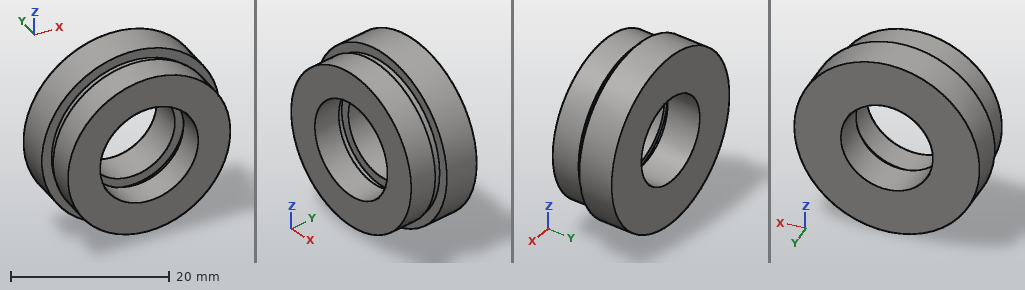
import cadquery as cq

flange_diameter = 25.4
body_diameter = 23.2
neck_diameter = 22.6
bore_diameter = 12.6
counterbore_diameter = 14.0

total_length = 10.0
flange_length = total_length / 2
neck_length = 1.0
body_length = total_length - flange_length - neck_length
counterbore_depth = 4.0
groove_diameter = 15.2
groove_length = 1.02


def cylinder(diameter, start, length):
    """Solid cylinder along +Y that begins at Y = start."""
    plane = cq.Workplane("XZ", origin=(0, start, 0))
    return plane.circle(diameter / 2).extrude(-length)


body = cylinder(body_diameter, 0, body_length)
neck = cylinder(neck_diameter, body_length, neck_length)
flange = cylinder(flange_diameter, body_length + neck_length, flange_length)

bore = cylinder(bore_diameter, 0, total_length)
counterbore = cylinder(counterbore_diameter, 0, counterbore_depth)
groove = cylinder(groove_diameter, counterbore_depth, groove_length)

outer_shape = body.union(neck).union(flange)
result = outer_shape.cut(bore).cut(counterbore).cut(groove)